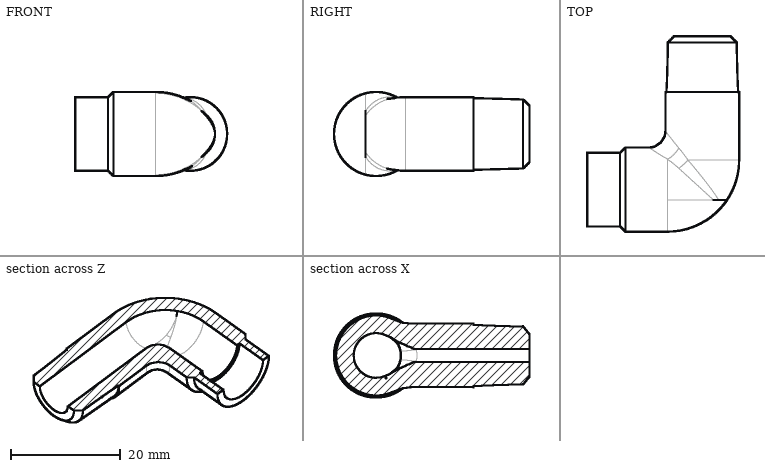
import cadquery as cq
import math

total_x = 27.75
total_y = 35.7
socket_diameter = 15.4
spigot_diameter = 13.5

elbow_radius = 13.1
elbow_x = total_x - elbow_radius
elbow_y = elbow_radius
socket_axis_y = socket_diameter / 2
spigot_axis_x = total_x - spigot_diameter / 2
socket_dome_offset = elbow_y - socket_axis_y
spigot_dome_offset = spigot_axis_x - elbow_x

spigot_end_y = 5.8
socket_dome_reach = 23.92
crotch_fillet = 3.0

neck_diameter = spigot_diameter
neck_length = 6.0
shoulder_end = neck_length + (socket_diameter - neck_diameter) / 2

taper_start = 25.5
taper_base_diameter = 13.15
taper_tip_diameter = 12.65
tip_diameter = 10.3
tip_chamfer_length = (taper_tip_diameter - tip_diameter) / 2

counterbore_diameter = 10.3
counterbore_depth = 6.0
socket_bore_diameter = 9.0
spigot_bore_diameter = 7.1
bore_elbow_radius = elbow_radius - (spigot_diameter - spigot_bore_diameter) / 2
bore_dome_reach = 19.8
bore_fillet = 3.0

margin = 3.57


def domed_arm(plane, profile, heading, dome_offset, dome_radius):
    """Revolve a (place along the axis, diameter) profile and close it with a dome.

    The dome starts at the last profile place and grows along the axis in the heading direction, +1 or -1.
    Its profile arc is centred dome_offset beyond the axis, so that it comes to a point on the axis.
    """
    dome_start = profile[-1][0]
    apex_angle = math.acos(dome_offset / dome_radius)
    middle_along = dome_radius * math.sin(apex_angle / 2)
    middle_across = dome_radius * math.cos(apex_angle / 2) - dome_offset
    apex_along = dome_radius * math.sin(apex_angle)

    outline = plane.moveTo(profile[0][0], 0)
    for along, diameter in profile:
        outline = outline.lineTo(along, -diameter / 2)
    outline = outline.threePointArc(
        (dome_start + heading * middle_along, -middle_across),
        (dome_start + heading * apex_along, 0),
    )
    return outline.close().revolve(360, (0, 0, 0), (1, 0, 0))


def region(x_max, y_min, y_max):
    """Return a block that spans the part in Z, from beyond its -X side to x_max and from y_min to y_max."""
    return (
        cq.Workplane("XY")
        .box(x_max + margin, y_max - y_min, 2 * socket_diameter, centered=(False, False, True))
        .translate((-margin, y_min, 0))
    )


def creases(body):
    """Select the intersection curves between the arms, without those in planes square to X or Y."""

    def is_crease(edge):
        box = edge.BoundingBox()
        return edge.geomType() == "BSPLINE" and box.xlen > 0.05 and box.ylen > 0.05

    return body.newObject([edge for edge in body.edges().vals() if is_crease(edge)])


def elbow_body():
    """Build the solid outside: both arms, the crotch fillet and the socket dome under the spigot."""
    socket = domed_arm(
        cq.Workplane("XZ", origin=(0, socket_axis_y, 0)),
        [
            (0, neck_diameter),
            (neck_length, neck_diameter),
            (shoulder_end, socket_diameter),
            (elbow_x, socket_diameter),
        ],
        1,
        socket_dome_offset,
        elbow_radius,
    )
    spigot = domed_arm(
        cq.Workplane("YZ", origin=(spigot_axis_x, 0, 0)),
        [
            (total_y, tip_diameter),
            (total_y - tip_chamfer_length, taper_tip_diameter),
            (taper_start, taper_base_diameter),
            (taper_start, spigot_diameter),
            (elbow_y, spigot_diameter),
        ],
        -1,
        spigot_dome_offset,
        elbow_radius,
    )
    upper_socket = socket.intersect(region(socket_dome_reach, spigot_end_y, total_y))
    upper_spigot = spigot.intersect(region(total_x, spigot_end_y, total_y))
    upper = creases(upper_socket.union(upper_spigot)).fillet(crotch_fillet)
    lower = socket.intersect(region(total_x, -margin, spigot_end_y))
    return lower.union(upper)


def bores():
    """Build the hollow: the stepped socket bore and the spigot bore, which bends round to meet it."""
    socket_bore = domed_arm(
        cq.Workplane("XZ", origin=(0, socket_axis_y, 0)),
        [
            (0, counterbore_diameter),
            (counterbore_depth, counterbore_diameter),
            (counterbore_depth, socket_bore_diameter),
            (elbow_x, socket_bore_diameter),
        ],
        1,
        socket_dome_offset,
        bore_elbow_radius,
    ).intersect(region(bore_dome_reach, -margin, total_y))
    bend_plane = cq.Workplane("XZ", origin=(spigot_axis_x, elbow_y, 0))
    straight = bend_plane.circle(spigot_bore_diameter / 2).extrude(elbow_y - total_y)
    bend = bend_plane.circle(spigot_bore_diameter / 2).revolve(
        90, (-spigot_dome_offset, 0, 0), (-spigot_dome_offset, -1, 0)
    )
    spigot_bore = straight.union(bend)
    return creases(socket_bore.union(spigot_bore, clean=False)).fillet(bore_fillet)


result = elbow_body().cut(bores())